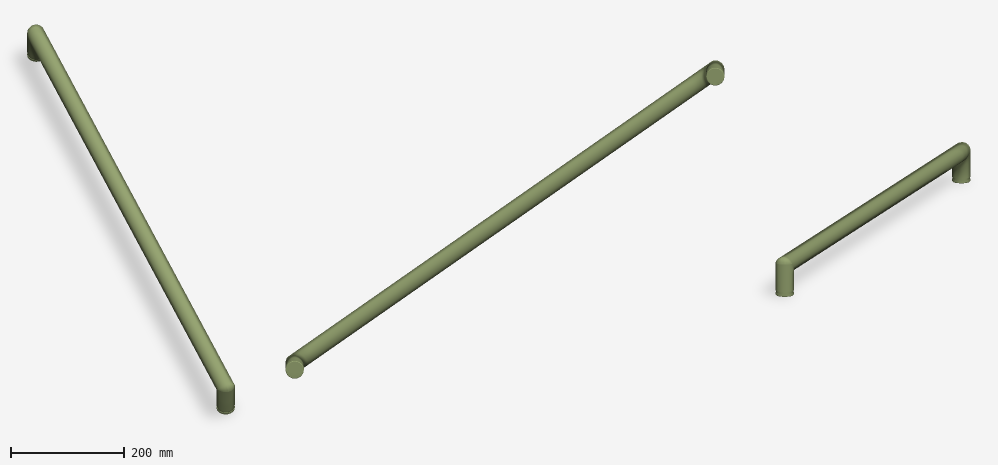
import cadquery as cq
import math

length = 946.0
height = 70.0
tube_radius = 16.0

joint_inset = 43.5
bend_radius = 11.0

foot_chamfer = 1.0
foot_groove_z = 5.0
foot_groove_width = 4.0
groove_depth = 1.0

socket_wall = 1.3
spigot_length = 17.0
spigot_grooves = 3
spigot_groove_width = 2.4
spigot_groove_pitch = 2 * spigot_groove_width

left_end = -length / 2
leg_x = left_end + tube_radius
bar_z = height - tube_radius
joint_x = left_end + joint_inset
bar_length = length - 2 * joint_inset
spigot_radius = tube_radius - socket_wall

ALONG_X = (1, 0, 0)
ALONG_Z = (0, 0, 1)


def rod(radius, start, direction, rod_length):
    """Solid cylinder that starts at a point and runs along a direction."""
    solid = cq.Solid.makeCylinder(radius, rod_length, cq.Vector(*start), cq.Vector(*direction))
    return cq.Workplane(solid)


def ring_groove(radius, start, direction, width):
    """Ring that cuts a shallow groove into a rod of the given radius."""
    outer = rod(radius + groove_depth, start, direction, width)
    return outer.cut(rod(radius - groove_depth, start, direction, width))


def make_bar():
    """Straight bar along X with a blind socket in each end."""
    bar = rod(tube_radius, (joint_x, 0, bar_z), ALONG_X, bar_length)
    socket = rod(spigot_radius, (joint_x, 0, bar_z), ALONG_X, spigot_length)
    return bar.cut(socket).cut(socket.mirror("YZ")).solids().val()


def mitre_wedge():
    """Block on the leg's side of the left elbow's 45 degree mitre plane."""
    reach = 2 * height
    return (
        cq.Workplane("XZ", origin=(leg_x, 0, bar_z))
        .moveTo(-reach, reach)
        .lineTo(reach, -reach)
        .lineTo(-reach, -reach)
        .close()
        .extrude(reach, both=True)
    )


def corner_block():
    """Block around the left elbow's sharp outer corner, as far as the axis of its bend."""
    block = cq.Workplane().box(2 * bend_radius, 4 * tube_radius, 2 * bend_radius)
    return block.translate((left_end, 0, height))


def corner_bend():
    """Outer segment of the leg's round section, turned a quarter about the bend axis along Y."""
    half_chord = math.sqrt(tube_radius**2 - (tube_radius - bend_radius) ** 2)
    return (
        cq.Workplane("XY", origin=(left_end + bend_radius, 0, height - bend_radius))
        .moveTo(0, -half_chord)
        .threePointArc((-bend_radius, 0), (0, half_chord))
        .close()
        .revolve(90, (0, 0), (0, 1))
    )


def make_spigot():
    """Spigot with evenly spaced grooves, running from the left joint into the bar."""
    spigot = rod(spigot_radius, (joint_x, 0, bar_z), ALONG_X, spigot_length)
    for index in range(spigot_grooves):
        start_x = joint_x + spigot_groove_width + index * spigot_groove_pitch
        groove = ring_groove(spigot_radius, (start_x, 0, bar_z), ALONG_X, spigot_groove_width)
        spigot = spigot.cut(groove)
    return spigot


def make_left_elbow():
    """Mitred elbow with a rounded outer corner, a chamfered and grooved foot, and a spigot."""
    wedge = mitre_wedge()
    leg = rod(tube_radius, (leg_x, 0, 0), ALONG_Z, height).intersect(wedge)
    arm = rod(tube_radius, (left_end, 0, bar_z), ALONG_X, joint_inset).cut(wedge)
    elbow = leg.union(arm)

    elbow = elbow.cut(corner_block()).union(corner_bend())

    elbow = elbow.faces("<Z").chamfer(foot_chamfer)
    foot_groove = ring_groove(tube_radius, (leg_x, 0, foot_groove_z), ALONG_Z, foot_groove_width)
    elbow = elbow.cut(foot_groove)

    return elbow.union(make_spigot()).solids().val()


def make_elbows():
    """The left elbow and its mirror image at the right end."""
    left = make_left_elbow()
    return [left, left.mirror("YZ")]


bar = make_bar()
elbows = make_elbows()

result = cq.Compound.makeCompound([bar, *elbows])